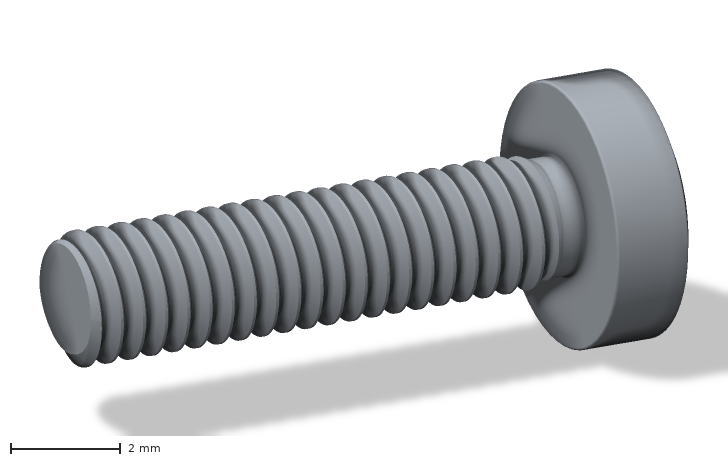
import cadquery as cq
import math

total_length = 12.08
head_radius = 2.5
head_height = 2.08
head_edge_radius = 0.05
dome_radius = 5.07
shank_length = total_length - head_height

neck_radius = 1.11
neck_length = 0.43
neck_fillet = 0.06

major_radius = 1.26
thread_depth = 0.28
flank_slope = math.tan(math.radians(30))
minor_radius = major_radius - thread_depth
groove_start = 0.55
groove_turns = 21
pitch = (shank_length - groove_start) / groove_turns
crest_width = pitch / 8
root_width = pitch - crest_width - 2 * thread_depth * flank_slope
groove_end_angle = 100.0
groove_overrun = 0.04
runout_length = 0.34
tip_radius = 1.08
tip_chamfer = major_radius - tip_radius

recess_width = 0.43
recess_span = 1.96
recess_depth = 0.97


def turned_blank():
    """Head, neck and plain shank revolved about the Z axis, head upwards."""
    highest_point_radius = recess_width / math.sqrt(2)
    dome_center = head_height - math.sqrt(dome_radius**2 - highest_point_radius**2)
    rim_height = dome_center + math.sqrt(dome_radius**2 - head_radius**2)
    half_angle = math.asin(head_radius / dome_radius) / 2
    dome_middle = (
        dome_radius * math.sin(half_angle),
        dome_center + dome_radius * math.cos(half_angle),
    )
    blank = (
        cq.Workplane("XZ")
        .moveTo(0, -shank_length)
        .lineTo(tip_radius, -shank_length)
        .lineTo(major_radius, -shank_length + tip_chamfer)
        .lineTo(major_radius, -neck_length - runout_length)
        .lineTo(neck_radius, -neck_length)
        .lineTo(neck_radius, -neck_fillet)
        .radiusArc((neck_radius + neck_fillet, 0), neck_fillet)
        .lineTo(head_radius, 0)
        .lineTo(head_radius, rim_height)
        .threePointArc(dome_middle, (0, dome_center + dome_radius))
        .close()
        .revolve(360, (0, 0, 0), (0, 1, 0))
    )
    head_edges = blank.edges(cq.selectors.RadiusNthSelector(-2))
    return head_edges.fillet(head_edge_radius)


def groove_turn():
    """One right-handed turn of the thread groove, trapezoidal in section, ending level with Z = 0."""
    helix = cq.Wire.makeHelix(pitch, pitch, minor_radius)
    root_half = root_width / 2
    mouth_half = root_half + flank_slope * (thread_depth + groove_overrun)
    mouth_radius = major_radius + groove_overrun
    turn = (
        cq.Workplane("XZ")
        .moveTo(minor_radius, -root_half)
        .lineTo(mouth_radius, -mouth_half)
        .lineTo(mouth_radius, mouth_half)
        .lineTo(minor_radius, root_half)
        .close()
        .sweep(cq.Workplane(helix), isFrenet=True)
    )
    return turn.rotate((0, 0, 0), (0, 0, 1), groove_end_angle).translate((0, 0, -pitch))


def cut_thread(blank):
    """Cut the groove turn by turn from below the neck until it runs out past the tip."""
    turn = groove_turn()
    for index in range(groove_turns + 1):
        blank = blank.cut(turn.translate((0, 0, -groove_start - index * pitch)), clean=False)
    return blank


def cross_recess():
    """Two crossing slots that open through the top of the dome."""
    arm = (
        cq.Workplane("XY", origin=(0, 0, head_height - recess_depth))
        .rect(recess_span, recess_width)
        .extrude(2 * recess_depth)
    )
    return arm.union(arm.rotate((0, 0, 0), (0, 0, 1), 90))


screw = cut_thread(turned_blank()).cut(cross_recess(), clean=False)
result = screw.rotate((0, 0, 0), (1, 0, 0), -90).val()